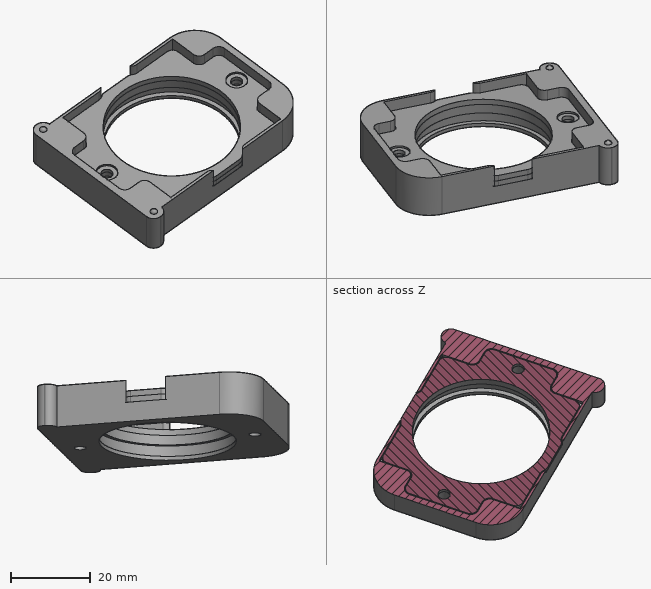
import cadquery as cq
import math


body_width = 40.3
body_length = 56.45
opening_setback = 28.3
rear_corner_radius = 9.0
front_height = 10.8
rear_height = 11.0
front_bar_width = 44.6
front_bar_length = 5.1
lobe_radius = 2.5
overall_height = 11.45
dome_radius = 1.0
dome_spacing = 39.75

pocket_floor = 5.0
pocket_width = 38.7
pocket_length = 38.55
tab_width = 19.9
tab_length = 52.6
pocket_radius = 2.0
window_width = 10.2

opening_diameter = 34.5
bore_diameter = 37.0
ledge_thickness = 1.0
hole_diameter = 3.0
hole_spacing = 45.6
recess_diameter = 5.5
recess_depth = 0.5

clearance = 0.1
lower_plate_top = 6.5
upper_plate_top = 8.0
collar_diameter = 36.5
collar_bottom = 4.0
ear_tip_radius = 2.5

front_y = -opening_setback
rear_y = front_y + body_length
bar_y = front_y + front_bar_length / 2
side_x = body_width / 2
hole_points = [(0, -hole_spacing / 2), (0, hole_spacing / 2)]

wall_end_x = pocket_width / 2 + pocket_radius
wall_end_y = window_width / 2 + math.sqrt(pocket_radius**2 - (wall_end_x - side_x)**2)


def block(width, length, bottom, top):
    """Box centred on the opening axis."""
    return cq.Workplane("XY", origin=(0, 0, bottom)).rect(width, length).extrude(top - bottom)


def cylinder(diameter, bottom, top, points=((0, 0),)):
    """Upright cylinders, one at each point."""
    plane = cq.Workplane("XY", origin=(0, 0, bottom))
    return plane.pushPoints(list(points)).circle(diameter / 2).extrude(top - bottom)


def cross(gap, bottom, top):
    """Wide middle with an end tab at front and rear, set in by gap from the pocket wall.

    The inner corners and the tab corners are rounded.
    """
    middle = block(pocket_width - 2 * gap, pocket_length - 2 * gap, bottom, top)
    tabs = block(tab_width - 2 * gap, tab_length - 2 * gap, bottom, top)
    reach = tab_width / 2
    length = tab_length / 2
    margin = 0.55
    near_tabs = cq.selectors.BoxSelector((-reach - margin, -length - margin, bottom - margin),
                                         (reach + margin, length + margin, top + margin))
    return middle.union(tabs).edges("|Z").edges(near_tabs).fillet(pocket_radius)


def wall_window():
    """Cutter for the opening in the +X wall, flared inward by the rounded wall ends."""
    inner_x = pocket_width / 2
    end_angle = math.acos((wall_end_x - side_x) / pocket_radius)
    mid_x = wall_end_x - pocket_radius * math.cos(end_angle / 2)
    mid_y = wall_end_y - pocket_radius * math.sin(end_angle / 2)
    half_window = window_width / 2
    return (
        cq.Workplane("XY", origin=(0, 0, pocket_floor))
        .moveTo(inner_x, -wall_end_y)
        .threePointArc((mid_x, -mid_y), (side_x, -half_window))
        .lineTo(side_x, half_window)
        .threePointArc((mid_x, mid_y), (inner_x, wall_end_y))
        .close()
        .extrude(rear_height - pocket_floor)
    )


def plate_ear(bottom, top):
    """Ear of a plate that fills the +X window flush with the outer face.

    Each end is an S-curve: a hollow arc around the wall end, then a tangent rounded tip.
    """
    root_x = pocket_width / 2 - clearance
    hollow_radius = wall_end_x - root_x
    tip_x = side_x - ear_tip_radius
    tip_y = wall_end_y - math.sqrt((hollow_radius + ear_tip_radius)**2 - (wall_end_x - tip_x)**2)
    tangent_angle = math.atan2(wall_end_y - tip_y, wall_end_x - tip_x)

    def on_hollow(angle):
        return (wall_end_x - hollow_radius * math.cos(angle), wall_end_y - hollow_radius * math.sin(angle))

    def on_tip(angle):
        return (tip_x + ear_tip_radius * math.cos(angle), tip_y + ear_tip_radius * math.sin(angle))

    half = (
        cq.Workplane("XY", origin=(0, 0, bottom))
        .moveTo(root_x, 0)
        .lineTo(side_x, 0)
        .lineTo(side_x, tip_y)
        .threePointArc(on_tip(tangent_angle / 2), on_tip(tangent_angle))
        .threePointArc(on_hollow(tangent_angle / 2), on_hollow(0))
        .close()
        .extrude(top - bottom)
    )
    return half.union(half.mirror("XZ"))


def make_plate(bottom, top):
    """Plate that follows the pocket, with rounded corners, side ears and through openings."""
    plate = cross(clearance, bottom, top)
    plate = plate.edges("|Z and (<X or >X)").fillet(pocket_radius)
    ear = plate_ear(bottom, top)
    plate = plate.union(ear).union(ear.mirror("YZ"))
    plate = plate.cut(cylinder(opening_diameter, bottom, top))
    return plate.cut(cylinder(hole_diameter, bottom, top, hole_points))


def make_lower_plate():
    """Plate on the pocket floor, with a collar that drops into the housing bore."""
    collar = cylinder(collar_diameter, collar_bottom, pocket_floor)
    collar = collar.cut(cylinder(opening_diameter, collar_bottom, pocket_floor))
    return make_plate(pocket_floor, lower_plate_top).union(collar)


def make_upper_plate():
    """Top plate, with a shallow recess around each screw hole."""
    plate = make_plate(lower_plate_top, upper_plate_top)
    return plate.cut(cylinder(recess_diameter, upper_plate_top - recess_depth, upper_plate_top, hole_points))


def make_housing():
    """Frame with a stepped rim, two front lobes with domes, and the pocket for the plates."""
    rear = (
        cq.Workplane("XY")
        .center(0, rear_y / 2)
        .rect(body_width, rear_y)
        .extrude(rear_height)
        .edges("|Z and >Y")
        .fillet(rear_corner_radius)
    )
    front = cq.Workplane("XY").center(0, bar_y / 2).rect(body_width, -bar_y).extrude(front_height)
    bar = block(front_bar_width, front_bar_length, 0, front_height).translate((0, bar_y, 0))
    bar = bar.edges("|Z").fillet(lobe_radius)
    body = rear.union(front).union(bar)

    body = body.cut(cross(0, pocket_floor, rear_height))
    window = wall_window()
    body = body.cut(window).cut(window.mirror("YZ"))
    body = body.cut(cylinder(opening_diameter, 0, pocket_floor))
    body = body.cut(cylinder(bore_diameter, ledge_thickness, pocket_floor))
    body = body.cut(cylinder(hole_diameter, 0, pocket_floor, hole_points))

    domes = (
        cq.Workplane("XY", origin=(0, 0, overall_height - dome_radius))
        .pushPoints([(-dome_spacing / 2, bar_y), (dome_spacing / 2, bar_y)])
        .sphere(dome_radius)
    )
    return body.union(domes)


housing = make_housing()
lower_plate = make_lower_plate()
upper_plate = make_upper_plate()

result = cq.Compound.makeCompound([body.solids().val() for body in (housing, lower_plate, upper_plate)])